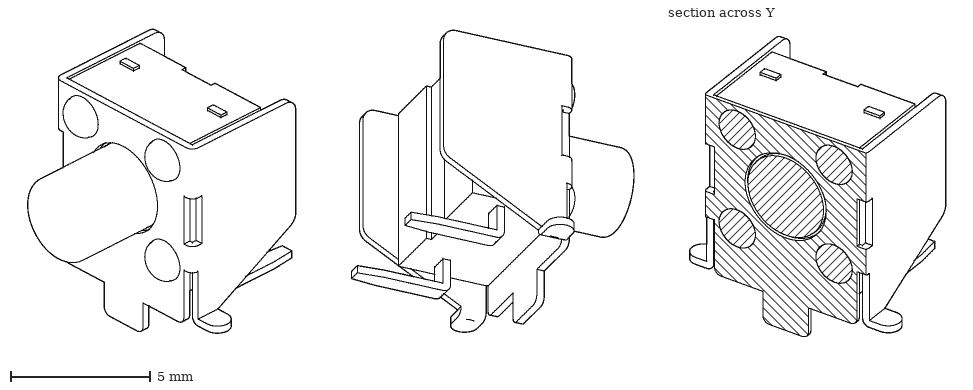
import cadquery as cq


housing_side = 6.2
housing_back = 3.85
notch_width = 1.5
notch_depth = 0.2

button_diameter = 3.3
button_reach = 3.35
button_edge_radius = 0.25
rivet_diameter = 1.6
rivet_pitch = 4.2
rivet_head_height = 0.5

sheet = 0.3
bracket_width = 7.05
bracket_height = 7.49
side_depth = 5.2
side_corner_radius = 0.5
side_slope_drop = 5.1
button_hole_diameter = 3.5
window_height = 2.0
window_depth = 0.5
slit_drop = 5.2
front_tab_width = 2.0
front_tab_length = 1.31
front_corner_radius = sheet
foot_span = 9.0
foot_width = 1.0

pin_width = 0.7
pin_pitch = 4.5
pin_front = 2.35
pin_back = 6.0
pin_top_projection = 0.1
pin_taper_length = 1.0
pin_tip_width = 0.5

top_z = housing_side / 2
bottom_z = top_z - bracket_height
foot_top_z = bottom_z + sheet
slit_top_z = top_z - slit_drop
side_inner_x = bracket_width / 2 - sheet
foot_back = sheet + foot_width

rivet_points = [(sx * rivet_pitch / 2, sz * rivet_pitch / 2) for sx in (-1, 1) for sz in (-1, 1)]


def box(x_range, y_range, z_range):
    """Axis-aligned block between the given limits."""
    size = [high - low for low, high in (x_range, y_range, z_range)]
    return (
        cq.Workplane("XY")
        .box(*size, centered=False)
        .translate((x_range[0], y_range[0], z_range[0]))
    )


def centered_box(width, y_range, z_range):
    """Block centred on X = 0."""
    return box((-width / 2, width / 2), y_range, z_range)


def cylinder_forward(diameter, start_y, end_y, points):
    """Cylinders along -Y from start_y to end_y at the given (x, z) points."""
    return (
        cq.Workplane("XZ", origin=(0, start_y, 0))
        .pushPoints(points)
        .circle(diameter / 2)
        .extrude(start_y - end_y)
    )


def make_pin(center_x):
    """L-shaped terminal: upright through the housing, then a foot running back to a tapered tip."""
    bend_back = pin_front + sheet
    x_range = (center_x - pin_width / 2, center_x + pin_width / 2)
    upright = box(x_range, (pin_front, bend_back), (bottom_z, top_z + pin_top_projection))
    taper_start = pin_back - pin_taper_length
    foot = (
        cq.Workplane("XY", origin=(center_x, 0, bottom_z))
        .moveTo(-pin_width / 2, bend_back)
        .lineTo(-pin_width / 2, taper_start)
        .lineTo(-pin_tip_width / 2, pin_back)
        .lineTo(pin_tip_width / 2, pin_back)
        .lineTo(pin_width / 2, taper_start)
        .lineTo(pin_width / 2, bend_back)
        .close()
        .extrude(sheet)
    )
    return upright.union(foot).edges("|X and <Z").edges("<Y").fillet(sheet)


def make_housing(terminals):
    """Block with a back notch, the button, four riveted posts and channels for the terminals."""
    block = centered_box(housing_side, (sheet, housing_back), (-top_z, top_z))
    notch = centered_box(notch_width, (housing_back - notch_depth, housing_back), (-top_z, top_z))
    button = cylinder_forward(button_diameter, sheet, -button_reach, [(0, 0)])
    button = button.faces("<Y").edges().fillet(button_edge_radius)
    posts = cylinder_forward(rivet_diameter, sheet, -rivet_head_height, rivet_points)
    posts = posts.faces("<Y").edges().fillet(rivet_head_height)
    body = block.cut(notch).union(button).union(posts)
    for terminal in terminals:
        body = body.cut(terminal)
    return body


def bracket_channel():
    """Front and side walls down to the feet, with rounded outer bends and sloped lower back corners."""
    z_range = (foot_top_z, top_z)
    walls = centered_box(bracket_width, (0, side_depth), z_range).edges("|Z and <Y").fillet(sheet)
    walls = walls.cut(centered_box(2 * side_inner_x, (sheet, side_depth), z_range))
    side_outline = (
        cq.Workplane("YZ", origin=(-bracket_width / 2, 0, 0))
        .moveTo(0, top_z)
        .lineTo(side_depth, top_z)
        .lineTo(side_depth, top_z - side_slope_drop)
        .lineTo(foot_back, foot_top_z)
        .lineTo(0, foot_top_z)
        .close()
        .extrude(bracket_width)
        .edges("|X")
        .edges(">Y")
        .fillet(side_corner_radius)
    )
    return walls.intersect(side_outline)


def front_apron():
    """Lower part of the front wall with its rounded corners and the locating tab."""
    apron = centered_box(housing_side, (0, sheet), (bottom_z, slit_top_z))
    tab = centered_box(front_tab_width, (0, sheet), (bottom_z - front_tab_length, bottom_z))
    apron = apron.edges("|Y and <Z").fillet(front_corner_radius)
    tab = tab.edges("|Y and <Z").fillet(front_corner_radius)
    return apron.union(tab)


def bracket_foot():
    """Foot with a full-round end, bent outward from a strip of the +X side wall."""
    wall_strip = box((side_inner_x, bracket_width / 2), (sheet, foot_back), (bottom_z, slit_top_z))
    round_center_x = (foot_span - foot_width) / 2
    foot = box((side_inner_x, round_center_x), (sheet, foot_back), (bottom_z, foot_top_z))
    round_end = (
        cq.Workplane("XY", origin=(round_center_x, sheet + foot_width / 2, bottom_z))
        .circle(foot_width / 2)
        .extrude(sheet)
    )
    return wall_strip.union(foot).edges("|Y and <Z").edges("<X").fillet(sheet).union(round_end)


def make_bracket():
    """Sheet bracket with bend windows, slits, feet and holes for the button and posts."""
    bracket = bracket_channel()
    bend_x = (housing_side / 2, bracket_width / 2)
    window = box(bend_x, (0, window_depth), (-window_height / 2, window_height / 2))
    slit = box(bend_x, (0, sheet), (foot_top_z, slit_top_z))
    foot = bracket_foot()
    openings = window.union(slit)
    bracket = bracket.cut(openings).cut(openings.mirror("YZ"))
    bracket = bracket.cut(centered_box(housing_side, (0, sheet), (foot_top_z, slit_top_z)))
    bracket = bracket.union(front_apron()).union(foot).union(foot.mirror("YZ"))
    bracket = bracket.cut(cylinder_forward(button_hole_diameter, sheet, 0, [(0, 0)]))
    return bracket.cut(cylinder_forward(rivet_diameter, sheet, 0, rivet_points))


pins = [make_pin(side * pin_pitch / 2) for side in (-1, 1)]
housing = make_housing(pins)
bracket = make_bracket()

result = cq.Compound.makeCompound([housing.val(), bracket.val(), *[pin.val() for pin in pins]])